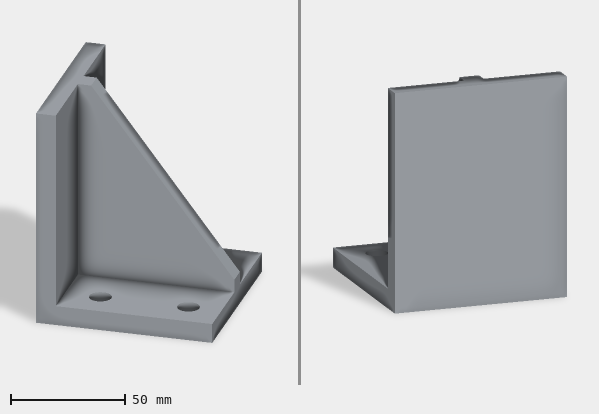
import cadquery as cq

length = 80.0
width = 80.0
height = 100.0
thickness = 9.0

rib_land = 6.0

hole_diameter = 10.0
hole_spacing_x = 40.0
hole_spacing_y = 50.0
first_hole_x = 25.0


def make_plate(size_x, size_z):
    """Full-width plate with its outer corner at X = 0, Z = 0."""
    return cq.Workplane("XY").box(size_x, width, size_z, centered=(False, True, False))


def make_rib():
    """Central gusset joining the base and the wall."""
    outline = [
        (thickness, thickness),
        (length, thickness),
        (length, thickness + rib_land),
        (thickness + rib_land, height),
        (thickness, height),
    ]
    return cq.Workplane("XZ").polyline(outline).close().extrude(thickness / 2, both=True)


def make_holes():
    """Cutters for the four through holes in the base."""
    return (
        cq.Workplane("XY")
        .center(first_hole_x + hole_spacing_x / 2, 0)
        .rarray(hole_spacing_x, hole_spacing_y, 2, 2)
        .circle(hole_diameter / 2)
        .extrude(thickness)
    )


base = make_plate(length, thickness)
wall = make_plate(thickness, height)
result = base.union(wall).union(make_rib()).cut(make_holes())